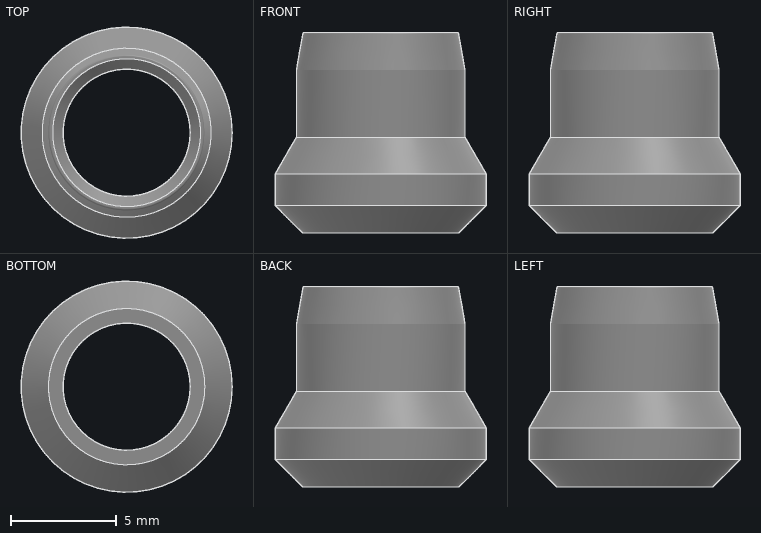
import cadquery as cq
import math

height = 9.5
flange_radius = 5.0
neck_radius = 4.0
bore_radius = 3.0

base_chamfer = 1.3
flange_top = 2.8
shoulder_angle = 30.0
neck_top = 7.7
tip_angle = 10.0
tip_rounding = 0.1

mouth_radius = 3.5
mouth_depth = 0.5

shoulder_top = flange_top + (flange_radius - neck_radius) / math.tan(math.radians(shoulder_angle))
tip_radius = neck_radius - (height - neck_top) * math.tan(math.radians(tip_angle))


def make_body():
    """Revolve the solid outer shape about the Z axis and round its tip."""
    body = (
        cq.Workplane("XZ")
        .moveTo(0, 0)
        .lineTo(flange_radius - base_chamfer, 0)
        .lineTo(flange_radius, base_chamfer)
        .lineTo(flange_radius, flange_top)
        .lineTo(neck_radius, shoulder_top)
        .lineTo(neck_radius, neck_top)
        .lineTo(tip_radius, height)
        .lineTo(0, height)
        .close()
        .revolve(360, (0, 0, 0), (0, 1, 0))
    )
    return body.faces(">Z").edges().fillet(tip_rounding)


def make_bore():
    """Through bore that widens into a conical mouth at the top."""
    return (
        cq.Workplane("XZ")
        .moveTo(0, 0)
        .lineTo(bore_radius, 0)
        .lineTo(bore_radius, height - mouth_depth)
        .lineTo(mouth_radius, height)
        .lineTo(0, height)
        .close()
        .revolve(360, (0, 0, 0), (0, 1, 0))
    )


result = make_body().cut(make_bore())